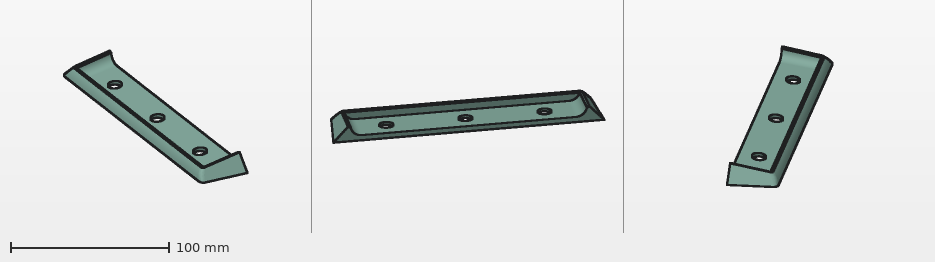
import cadquery as cq

length = 174.0
depth = 32.0
height = 10.6

lip_height = 7.0
lip_setback = 4.4
front_bulge = 0.3
end_lean = 9.4
end_taper = 4.0
corner_radius = 3.5

top_slope = (height - lip_height) / (depth - lip_setback)
back_floor_height = 3.8
floor_slope = 0.1
lip_inner_y = 6.3
hollow_half_length = 75.9
cove_radius = 7.1
rim_drop = 0.7
rim_land = 0.2

hole_diameter = 8.9
hole_spacing = 50.8
hole_y = 19.1


def make_side_profile_body():
    """Bar with a bowed, leaning front and a top that rises towards the back."""
    bow_point = (lip_setback / 2 - front_bulge, lip_height / 2 + front_bulge)
    return (
        cq.Workplane("YZ")
        .moveTo(0, 0)
        .threePointArc(bow_point, (lip_setback, lip_height))
        .lineTo(depth, height)
        .lineTo(depth, 0)
        .close()
        .extrude(length / 2, both=True)
    )


def make_end_envelope():
    """Prism bounded by the two leaning end faces that taper towards the front."""
    half = length / 2

    def trapezoid(y, inset):
        bottom = half - inset
        top = bottom - end_lean
        points = [(-bottom, 0), (bottom, 0), (top, height), (-top, height)]
        return cq.Wire.makePolygon([cq.Vector(x, y, z) for x, z in points], close=True)

    solid = cq.Solid.makeLoft([trapezoid(0, end_taper), trapezoid(depth, 0)], True)
    return cq.Workplane(obj=solid)


def make_hollow():
    """Pocket open at the top and back, with a sloping floor and a coved wall at each end."""
    half_floor = hollow_half_length - cove_radius

    def section(y):
        floor_z = back_floor_height - floor_slope * (depth - y)
        cove_top = floor_z + cove_radius
        return (
            cq.Workplane("XZ", origin=(0, y, 0))
            .moveTo(-half_floor, floor_z)
            .lineTo(half_floor, floor_z)
            .radiusArc((hollow_half_length, cove_top), -cove_radius)
            .lineTo(-hollow_half_length, cove_top)
            .radiusArc((-half_floor, floor_z), -cove_radius)
            .close()
            .wire()
            .val()
        )

    solid = cq.Solid.makeLoft([section(lip_inner_y), section(depth)], True)
    return cq.Workplane(obj=solid)


def make_rim_bevel():
    """Frustum that slants the rim down towards the hollow, following the sloping top."""
    back = depth + rim_land

    def rectangle(half, front, drop):
        def corner(x, y):
            return cq.Vector(x, y, height - top_slope * (depth - y) - drop)

        corners = [corner(-half, front), corner(half, front), corner(half, back), corner(-half, back)]
        return cq.Wire.makePolygon(corners, close=True)

    crest = rectangle(length / 2 - end_lean - rim_land, lip_setback + rim_land, 0)
    inner = rectangle(hollow_half_length, lip_inner_y, rim_drop)
    return cq.Workplane(obj=cq.Solid.makeLoft([inner, crest], True))


def make_holes():
    return (
        cq.Workplane("XY")
        .pushPoints([(i * hole_spacing, hole_y) for i in (-1, 0, 1)])
        .circle(hole_diameter / 2)
        .extrude(height)
    )


body = make_side_profile_body().intersect(make_end_envelope())

corner_zone = cq.selectors.BoxSelector((-length, 0, 0), (length, lip_setback, lip_height))
front_corners = body.edges(corner_zone).edges("not (#Z or |X)")
body = front_corners.fillet(corner_radius)

result = body.cut(make_hollow()).cut(make_rim_bevel()).cut(make_holes())